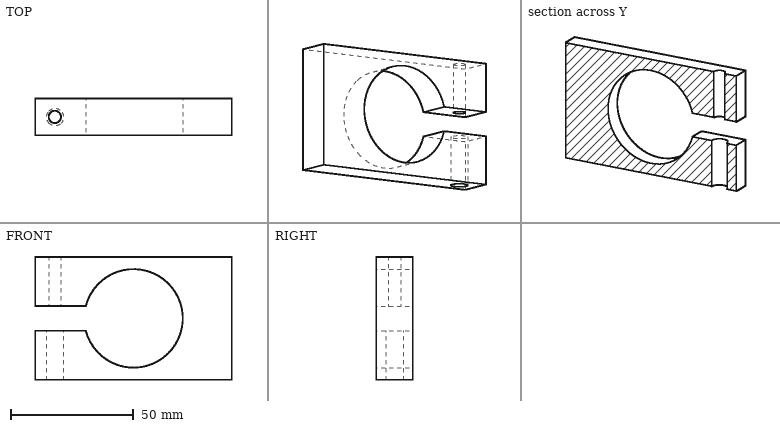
import cadquery as cq

LENGTH = 80.0
THICKNESS = 15.0
HEIGHT = 50.0

BORE_DIAMETER = 40.0
BORE_X = LENGTH / 2
SLOT_HEIGHT = 10.0

SCREW_X = 8.0
UPPER_HOLE_DIAMETER = 4.92
LOWER_HOLE_DIAMETER = 7.0


def make_block():
    return cq.Workplane("XY").box(LENGTH, THICKNESS, HEIGHT, centered=(False, True, True))


def make_bore():
    return (
        cq.Workplane("XZ")
        .center(BORE_X, 0)
        .circle(BORE_DIAMETER / 2)
        .extrude(THICKNESS / 2, both=True)
    )


def make_slot():
    return cq.Workplane("XY").box(BORE_X, THICKNESS, SLOT_HEIGHT, centered=(False, True, True))


def make_screw_hole(diameter, direction):
    """Hole from the slot centre out through the upper (+1) or lower (-1) jaw."""
    return (
        cq.Workplane("XY")
        .center(SCREW_X, 0)
        .circle(diameter / 2)
        .extrude(direction * HEIGHT / 2)
    )


result = (
    make_block()
    .cut(make_bore())
    .cut(make_slot())
    .cut(make_screw_hole(UPPER_HOLE_DIAMETER, 1))
    .cut(make_screw_hole(LOWER_HOLE_DIAMETER, -1))
)